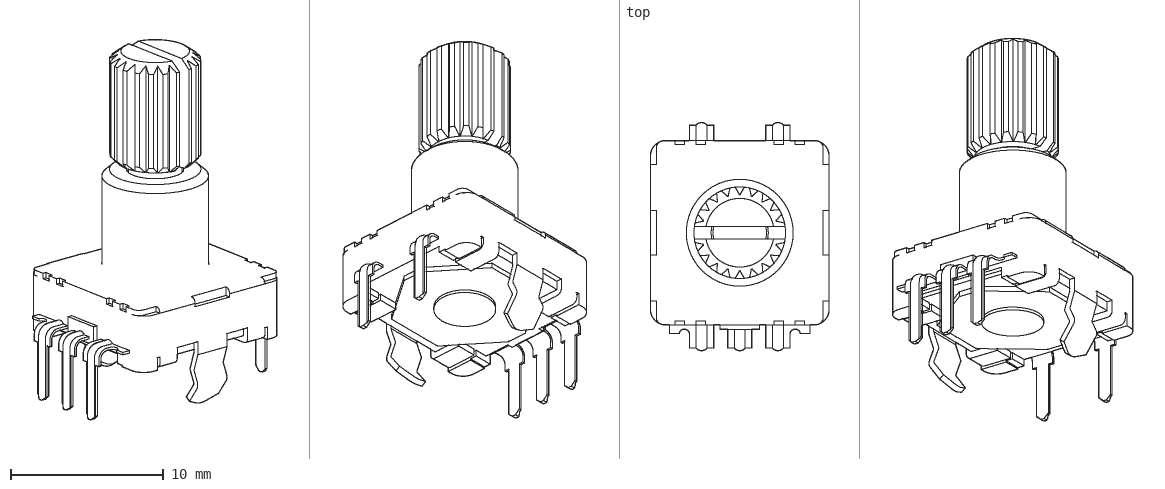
import cadquery as cq
import math


CASE_X = 11.71
CASE_Y = 12.06
CASE_TOP = 4.29
CASE_CORNER_R = 1.0
FLOOR_Z = 0.55
POST_INNER_X = 3.85
POST_INNER_Y = 4.68
WALL_END_X = 3.35
WALL_END_Z = 0.1

SHEET = 0.4
LID_STEP = 0.37
FLANGE_BEND_R = 0.39
LID_HALF_X = CASE_X / 2 - FLANGE_BEND_R
LID_CORNER_R = 0.5
FLANGE_HALF_Y = 4.48
FLANGE_NOTCH_Y = 2.94
FLANGE_NOTCH_DEPTH = 0.6
EDGE_NOTCH_WIDTH = 0.62
EDGE_NOTCH_DEPTH = 0.25
EDGE_NOTCH_XS = (2.54, 3.93)
RELIEF_TOP = 0.87
FOLD_TAB_INNER_Y = 3.0
FOLD_TAB_Z = 0.07
FOLD_TAB_R = 0.4
SIDE_WINDOW_TOP = 1.2
PIN_WINDOW_TOP = 0.82
PIN_WINDOW_INNER_X = 1.4

BASE_Z = 0.2
BASE_FLAT_HALF_X = 0.75
BASE_FLAT_HALF_Y = 2.2
BASE_HALF_X = 4.5
BASE_HALF_Y = 5.0
BASE_DISC_R = 2.03

BLOCK_WIDTH = 2.6
BLOCK_BOTTOM = 0.88
BLOCK_TOP = 2.15
BLOCK_DEPTH = 0.3

BUSHING_R = 3.5
BUSHING_HEIGHT = 7.02
BUSHING_TOP = CASE_TOP + BUSHING_HEIGHT
BUSHING_CHAMFER_R = 0.5
BUSHING_CHAMFER_Z = 0.45
BUSHING_FILLET = 0.5
SHAFT_TOP = 19.52
SHAFT_R = 3.0
NECK_R = 1.75
BORE_R = 1.87
BORE_DEPTH = 0.5
KNURL_BOTTOM = 11.94
KNURL_BOTTOM_CHAMFER = 0.49
SHAFT_TOP_CHAMFER_R = 0.75
SHAFT_TOP_CHAMFER_Z = 0.57
GROOVE_COUNT = 20
GROOVE_DEPTH = 0.52
GROOVE_HALF_WIDTH = 0.31
SLOT_WIDTH = 0.8
SLOT_BOTTOM = 11.65

OVERALL_HEIGHT = 23.16
LEAD_TIP_Z = SHAFT_TOP - OVERALL_HEIGHT
LEAD_SHEET = 0.17
LEAD_BEND_R = 0.5
LEAD_BEND_Z = 0.67
LEAD_SHOULDER_Z = BASE_Z
LEAD_WIDE = 1.6
LEAD_NARROW = 0.96
LEAD_TIP_WIDTH = 0.28
LEAD_TIP_LENGTH = 0.31
RIB_WIDTH = 0.7
RIB_RISE = 0.17
LEAD_ROOT_Y = 5.5
LEAD_PITCH = 2.5
FRONT_LEAD_Y = 7.73
BACK_LEAD_Y = 7.22
EAR_OUTER_X = 4.61
EAR_Y = 6.61
EAR_SCALLOP_HALF = 0.33
EAR_SCALLOP_DEPTH = 0.29

CLIP_WIDTH = 2.5
CLIP_X = CASE_X / 2 - SHEET / 2
CLIP_ROOT = (CLIP_X, SIDE_WINDOW_TOP)
CLIP_BEND = (CLIP_X, 0.33)
CLIP_WAIST = (5.25, -0.9)
CLIP_KNEE = (5.69, -1.86)
CLIP_TIP = (4.51, -3.525)
CLIP_TIP_LENGTH = 0.56
CLIP_NOSE_HALF = 0.45
CLIP_NOSE_LENGTH = 0.116
CLIP_INNER_BEND_R = 0.15
CLIP_OUTER_BEND_R = 0.5

TOOL_SIZE = 20.0


def box(x0, x1, y0, y1, z0, z1):
    """Axis-aligned box from its limits."""
    return cq.Workplane("XY").box(x1 - x0, y1 - y0, z1 - z0, centered=False).translate((x0, y0, z0))


def four_ways(shape):
    """The shape mirrored into all four quadrants of X and Y."""
    half = shape.union(shape.mirror("YZ"))
    return half.union(half.mirror("XZ"))


def case_slab(z0, z1):
    slab = cq.Workplane("XY").workplane(offset=z0).rect(CASE_X, CASE_Y).extrude(z1 - z0)
    return slab.edges("|Z").fillet(CASE_CORNER_R)


def make_lid():
    """Top step of the case: a rounded plate plus the folded side flanges."""
    step_z = CASE_TOP - LID_STEP
    plate = cq.Workplane("XY").workplane(offset=step_z).rect(2 * LID_HALF_X, CASE_Y).extrude(LID_STEP)
    plate = plate.edges("|Z").fillet(LID_CORNER_R)
    half_x = CASE_X / 2
    flanges = box(-half_x, half_x, -FLANGE_HALF_Y, FLANGE_HALF_Y, CASE_TOP - FLANGE_NOTCH_DEPTH, CASE_TOP)
    flanges = flanges.edges("|Y and >Z").fillet(FLANGE_BEND_R)
    return plate.union(flanges)


def make_case():
    half_x = CASE_X / 2
    half_y = CASE_Y / 2
    case = case_slab(FLOOR_Z, CASE_TOP - LID_STEP).union(make_lid())

    posts = four_ways(box(POST_INNER_X, half_x, POST_INNER_Y, half_y, 0, FLOOR_Z))
    walls = four_ways(box(WALL_END_X, POST_INNER_X, POST_INNER_Y, half_y, WALL_END_Z, FLOOR_Z))
    case = case.union(posts.union(walls).intersect(case_slab(0, FLOOR_Z)))

    tab = box(WALL_END_X, half_x, FOLD_TAB_INNER_Y, FLANGE_HALF_Y, FOLD_TAB_Z, FLOOR_Z)
    case = case.union(four_ways(tab.edges("|Y and >X and <Z").fillet(FOLD_TAB_R)))

    sheet_x = half_x - SHEET
    relief = box(sheet_x, half_x, FLANGE_HALF_Y, POST_INNER_Y, FLOOR_Z, RELIEF_TOP)
    window = box(sheet_x, half_x, CLIP_WIDTH / 2, FOLD_TAB_INNER_Y, FLOOR_Z, SIDE_WINDOW_TOP)
    case = case.cut(four_ways(relief)).cut(four_ways(window))

    notch_half = FLANGE_NOTCH_Y / 2
    side_notch = box(LID_HALF_X, half_x, -notch_half, notch_half, CASE_TOP - FLANGE_NOTCH_DEPTH, CASE_TOP)
    case = case.cut(side_notch).cut(side_notch.mirror("YZ"))
    for x in EDGE_NOTCH_XS:
        notch = box(x - EDGE_NOTCH_WIDTH / 2, x + EDGE_NOTCH_WIDTH / 2,
                    half_y - EDGE_NOTCH_DEPTH, half_y, CASE_TOP - LID_STEP, CASE_TOP)
        case = case.cut(four_ways(notch))

    pin_window = box(PIN_WINDOW_INNER_X, WALL_END_X, -half_y, SHEET - half_y, FLOOR_Z, PIN_WINDOW_TOP)
    return case.cut(pin_window).cut(pin_window.mirror("YZ"))


def make_base():
    """Plate with slanted corners and a round pad under it."""
    outline = [
        (BASE_HALF_X, BASE_FLAT_HALF_Y),
        (BASE_FLAT_HALF_X, BASE_HALF_Y),
        (-BASE_FLAT_HALF_X, BASE_HALF_Y),
        (-BASE_HALF_X, BASE_FLAT_HALF_Y),
        (-BASE_HALF_X, -BASE_FLAT_HALF_Y),
        (-BASE_FLAT_HALF_X, -BASE_HALF_Y),
        (BASE_FLAT_HALF_X, -BASE_HALF_Y),
        (BASE_HALF_X, -BASE_FLAT_HALF_Y),
    ]
    plate = cq.Workplane("XY").workplane(offset=BASE_Z).polyline(outline).close().extrude(FLOOR_Z - BASE_Z)
    return plate.union(cq.Workplane("XY").circle(BASE_DISC_R).extrude(BASE_Z))


def make_front_block():
    half_y = CASE_Y / 2
    return box(-BLOCK_WIDTH / 2, BLOCK_WIDTH / 2, -half_y - BLOCK_DEPTH, -half_y, BLOCK_BOTTOM, BLOCK_TOP)


def make_bushing():
    flare_r = BUSHING_R + BUSHING_FILLET
    flare_top = CASE_TOP + BUSHING_FILLET
    mid = BUSHING_FILLET * (1 - math.sqrt(0.5))
    profile = (
        cq.Workplane("XZ")
        .moveTo(0, FLOOR_Z)
        .lineTo(flare_r, FLOOR_Z)
        .lineTo(flare_r, CASE_TOP)
        .threePointArc((BUSHING_R + mid, CASE_TOP + mid), (BUSHING_R, flare_top))
        .lineTo(BUSHING_R, BUSHING_TOP - BUSHING_CHAMFER_Z)
        .lineTo(BUSHING_R - BUSHING_CHAMFER_R, BUSHING_TOP)
        .lineTo(BORE_R, BUSHING_TOP)
        .lineTo(BORE_R, BUSHING_TOP - BORE_DEPTH)
        .lineTo(0, BUSHING_TOP - BORE_DEPTH)
        .close()
    )
    return profile.revolve(360, (0, 0, 0), (0, 1, 0))


def make_shaft():
    """Knurled shaft on a thinner neck, split by a screwdriver slot."""
    outline = [
        (0, BUSHING_TOP - BORE_DEPTH),
        (NECK_R, BUSHING_TOP - BORE_DEPTH),
        (NECK_R, KNURL_BOTTOM),
        (SHAFT_R - KNURL_BOTTOM_CHAMFER, KNURL_BOTTOM),
        (SHAFT_R, KNURL_BOTTOM + KNURL_BOTTOM_CHAMFER),
        (SHAFT_R, SHAFT_TOP - SHAFT_TOP_CHAMFER_Z),
        (SHAFT_R - SHAFT_TOP_CHAMFER_R, SHAFT_TOP),
        (0, SHAFT_TOP),
    ]
    shaft = cq.Workplane("XZ").polyline(outline).close().revolve(360, (0, 0, 0), (0, 1, 0))

    groove = (
        cq.Workplane("XY")
        .workplane(offset=KNURL_BOTTOM)
        .moveTo(SHAFT_R - GROOVE_DEPTH, 0)
        .lineTo(SHAFT_R + GROOVE_DEPTH, 2 * GROOVE_HALF_WIDTH)
        .lineTo(SHAFT_R + GROOVE_DEPTH, -2 * GROOVE_HALF_WIDTH)
        .close()
        .extrude(SHAFT_TOP - KNURL_BOTTOM)
    )
    for i in range(GROOVE_COUNT):
        shaft = shaft.cut(groove.rotate((0, 0, 0), (0, 0, 1), i * 360 / GROOVE_COUNT))

    slot = box(-SHAFT_R, SHAFT_R, -SLOT_WIDTH / 2, SLOT_WIDTH / 2, SLOT_BOTTOM, SHAFT_TOP)
    return shaft.cut(slot)


def make_lead(outer_y):
    """Terminal at X = 0 that leaves the +Y wall, bends down and carries a rounded rib outside."""
    outer_r = LEAD_BEND_R + LEAD_SHEET
    face_y = outer_y - RIB_RISE
    bend_y = face_y - outer_r
    strip_top = LEAD_BEND_Z + outer_r
    diag = math.sqrt(0.5)

    side = (
        cq.Workplane("YZ")
        .moveTo(LEAD_ROOT_Y, strip_top)
        .lineTo(bend_y, strip_top)
        .threePointArc((bend_y + outer_r * diag, LEAD_BEND_Z + outer_r * diag), (face_y, LEAD_BEND_Z))
        .lineTo(face_y, LEAD_TIP_Z)
        .lineTo(face_y - LEAD_SHEET, LEAD_TIP_Z)
        .lineTo(face_y - LEAD_SHEET, LEAD_BEND_Z)
        .threePointArc((bend_y + LEAD_BEND_R * diag, LEAD_BEND_Z + LEAD_BEND_R * diag),
                       (bend_y, LEAD_BEND_Z + LEAD_BEND_R))
        .lineTo(LEAD_ROOT_Y, LEAD_BEND_Z + LEAD_BEND_R)
        .close()
    )
    strip = side.extrude(LEAD_WIDE / 2, both=True)

    rib_path = (
        cq.Workplane("YZ")
        .moveTo(LEAD_ROOT_Y, strip_top)
        .lineTo(bend_y, strip_top)
        .threePointArc((bend_y + outer_r * diag, LEAD_BEND_Z + outer_r * diag), (face_y, LEAD_BEND_Z))
        .lineTo(face_y, LEAD_TIP_Z)
    )
    rib_plane = cq.Plane(origin=(0, LEAD_ROOT_Y, strip_top), xDir=(1, 0, 0), normal=(0, -1, 0))
    rib = (
        cq.Workplane(rib_plane)
        .moveTo(-RIB_WIDTH / 2, 0)
        .threePointArc((0, RIB_RISE), (RIB_WIDTH / 2, 0))
        .lineTo(RIB_WIDTH / 2, -LEAD_SHEET / 2)
        .lineTo(-RIB_WIDTH / 2, -LEAD_SHEET / 2)
        .close()
        .sweep(rib_path)
    )

    wide = LEAD_WIDE / 2
    narrow = LEAD_NARROW / 2
    tip = LEAD_TIP_WIDTH / 2
    half_outline = [
        (wide, LEAD_SHOULDER_Z),
        (narrow, LEAD_SHOULDER_Z),
        (narrow, LEAD_TIP_Z + LEAD_TIP_LENGTH),
        (tip, LEAD_TIP_Z),
    ]
    mirrored = [(-x, z) for x, z in reversed(half_outline)]
    outline = [(-wide, CASE_TOP), (wide, CASE_TOP)] + half_outline + mirrored
    envelope = cq.Workplane("XZ").polyline(outline).close().extrude(-TOOL_SIZE)
    return strip.union(rib).intersect(envelope)


def make_ear():
    """Scalloped side tab of the front +X terminal."""
    inner_x = LEAD_PITCH + LEAD_WIDE / 2
    scallop_x = inner_x + EAR_SCALLOP_HALF
    return (
        cq.Workplane("XY")
        .workplane(offset=LEAD_BEND_Z + LEAD_BEND_R)
        .moveTo(LEAD_PITCH, -LEAD_ROOT_Y)
        .lineTo(EAR_OUTER_X, -LEAD_ROOT_Y)
        .lineTo(EAR_OUTER_X, -EAR_Y)
        .lineTo(scallop_x + EAR_SCALLOP_HALF, -EAR_Y)
        .threePointArc((scallop_x, EAR_SCALLOP_DEPTH - EAR_Y), (inner_x, -EAR_Y))
        .lineTo(LEAD_PITCH, -EAR_Y)
        .close()
        .extrude(LEAD_SHEET)
    )


def make_terminals():
    front = make_lead(FRONT_LEAD_Y).mirror("XZ")
    back = make_lead(BACK_LEAD_Y)
    ear = make_ear()
    terminals = front.union(ear).union(ear.mirror("YZ"))
    for x in (-LEAD_PITCH, LEAD_PITCH):
        terminals = terminals.union(front.translate((x, 0, 0))).union(back.translate((x, 0, 0)))
    return terminals


def direction(a, b):
    """Unit vector from point a to point b."""
    length = math.hypot(b[0] - a[0], b[1] - a[1])
    return ((b[0] - a[0]) / length, (b[1] - a[1]) / length)


def offset_path(path, distance):
    """Mitred parallel of an open path; positive distances lie to its left."""
    legs = [direction(a, b) for a, b in zip(path, path[1:])]
    before = [legs[0]] + legs
    after = legs + [legs[-1]]
    points = []
    for (x, z), u, v in zip(path, before, after):
        stretch = distance / (1 + u[0] * v[0] + u[1] * v[1])
        points.append((x - (u[1] + v[1]) * stretch, z + (u[0] + v[0]) * stretch))
    return points


def make_clip():
    """Spring leg on the +X side, bent from sheet, with a tapered, rounded tip."""
    path = [CLIP_ROOT, CLIP_BEND, CLIP_WAIST, CLIP_KNEE, CLIP_TIP]
    outer = offset_path(path, SHEET / 2)
    inner = offset_path(path, -SHEET / 2)
    clip = cq.Workplane("XZ").polyline(outer + inner[::-1]).close().extrude(CLIP_WIDTH / 2, both=True)

    waist = path.index(CLIP_WAIST)
    knee = path.index(CLIP_KNEE)
    bends = [
        (outer[waist], CLIP_INNER_BEND_R),
        (inner[waist], CLIP_INNER_BEND_R),
        (outer[knee], CLIP_OUTER_BEND_R),
        (inner[knee], CLIP_INNER_BEND_R),
    ]
    for (x, z), radius in bends:
        clip = clip.edges(cq.NearestToPointSelector((x, 0, z))).fillet(radius)

    leg = direction(CLIP_KNEE, CLIP_TIP)
    half = CLIP_WIDTH / 2
    tip_plane = cq.Plane(origin=(CLIP_TIP[0], 0, CLIP_TIP[1]), xDir=(0, 1, 0), normal=(-leg[1], 0, leg[0]))
    trim = (
        cq.Workplane(tip_plane)
        .moveTo(-half, CLIP_TIP_LENGTH)
        .lineTo(-CLIP_NOSE_HALF, CLIP_NOSE_LENGTH)
        .threePointArc((0, 0), (CLIP_NOSE_HALF, CLIP_NOSE_LENGTH))
        .lineTo(half, CLIP_TIP_LENGTH)
        .lineTo(half, -CLIP_TIP_LENGTH)
        .lineTo(-half, -CLIP_TIP_LENGTH)
        .close()
        .extrude(SHEET, both=True)
    )
    return clip.cut(trim)


clip = make_clip()
result = (
    make_case()
    .union(make_base())
    .union(make_front_block())
    .union(make_bushing())
    .union(make_shaft())
    .union(make_terminals())
    .union(clip)
    .union(clip.mirror("YZ"))
)